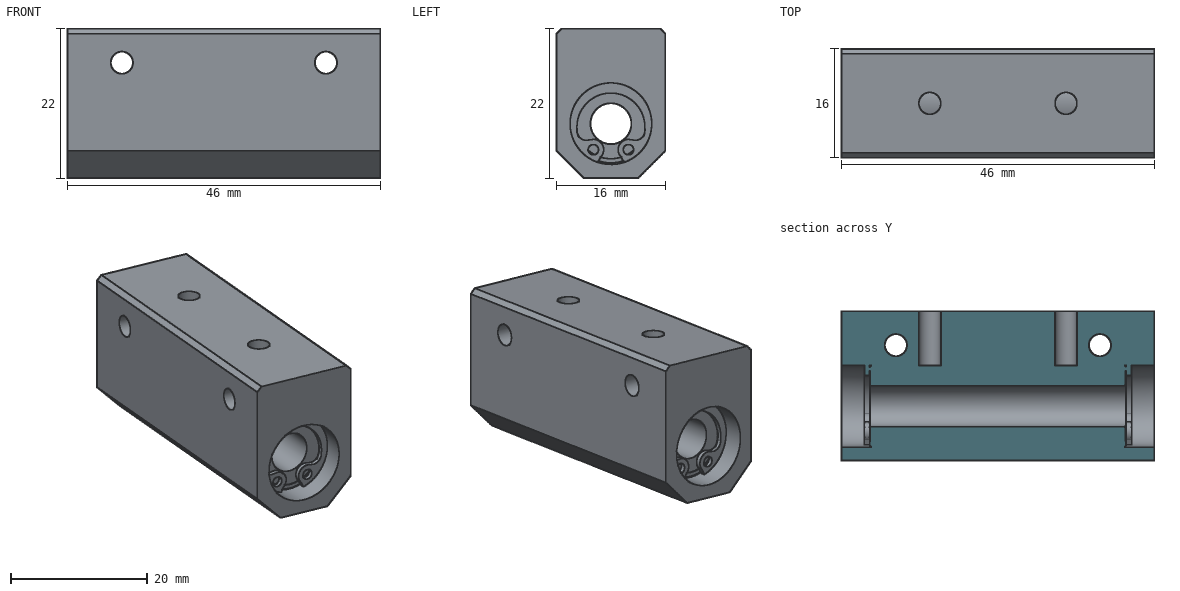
import cadquery as cq
import math

length = 46.0
width = 16.0
height = 22.0
bottom_chamfer = 4.0
top_chamfer = 0.75

hole_diameter = 3.2
side_hole_spacing = 30.0
top_hole_spacing = 20.0
side_hole_depth_from_top = 5.0

axis_height = width / 2
seat_diameter = 12.0
bearing_face_diameter = 11.5
seal_diameter = 10.3
seal_recess = 0.1
rod_diameter = 6.0
bearing_inset = 4.15

ring_thickness = 0.8
ring_arc_radius = 4.95
ring_arc_drop = 0.45
ring_corner_radius = 1.4
ring_corner_drop = 1.05
lug_radius = 1.5
lug_offset = 2.58
lug_drop = 3.8
lug_hole_diameter = 1.5
gap_half_width = 2.05


def on_axis(x):
    """Work plane across the bearing axis, with local X along Y and local Y along Z."""
    return cq.Workplane("YZ", origin=(x, 0, axis_height))


def make_housing():
    block = cq.Workplane("XY").box(length, width, height, centered=(True, True, False))
    block = block.edges("|X and <Z").chamfer(bottom_chamfer)
    block = block.edges("|X and >Z").chamfer(top_chamfer)
    seat = on_axis(-length / 2).circle(seat_diameter / 2).extrude(length)
    side_holes = (
        cq.Workplane("XZ", origin=(0, 0, height - side_hole_depth_from_top))
        .pushPoints([(-side_hole_spacing / 2, 0), (side_hole_spacing / 2, 0)])
        .circle(hole_diameter / 2)
        .extrude(width, both=True)
    )
    top_holes = (
        cq.Workplane("XY", origin=(0, 0, axis_height))
        .pushPoints([(-top_hole_spacing / 2, 0), (top_hole_spacing / 2, 0)])
        .circle(hole_diameter / 2)
        .extrude(height - axis_height)
    )
    return block.cut(seat).cut(side_holes).cut(top_holes)


def make_bearings():
    """Two bearings meeting at mid-length, modelled as one sleeve with recessed end seals."""
    bearing_length = length - 2 * bearing_inset
    rim_chamfer = (seat_diameter - bearing_face_diameter) / 2
    sleeve = on_axis(-bearing_length / 2).circle(seat_diameter / 2).extrude(bearing_length)
    sleeve = sleeve.edges("%CIRCLE").chamfer(rim_chamfer)
    for end_x in (-bearing_length / 2, bearing_length / 2 - seal_recess):
        sleeve = sleeve.cut(on_axis(end_x).circle(seal_diameter / 2).extrude(seal_recess))
    bore = on_axis(-length / 2).circle(rod_diameter / 2).extrude(length)
    return sleeve.cut(bore)


def make_ring(start_x):
    diagonal = math.sqrt(0.5)
    corner_y = ring_arc_radius - ring_corner_radius
    lug_end_y = lug_offset - lug_radius * diagonal
    lug_end_z = -lug_drop - lug_radius * diagonal
    below_ring = -seat_diameter / 2
    opening = (
        on_axis(start_x)
        .moveTo(-ring_arc_radius, -ring_corner_drop)
        .threePointArc((0, ring_arc_radius - ring_arc_drop), (ring_arc_radius, -ring_corner_drop))
        .threePointArc(
            (corner_y + ring_corner_radius * diagonal, -ring_corner_drop - ring_corner_radius * diagonal),
            (corner_y, -ring_corner_drop - ring_corner_radius),
        )
        .lineTo(lug_offset, lug_radius - lug_drop)
        .threePointArc((lug_offset - lug_radius, -lug_drop), (lug_end_y, lug_end_z))
        .lineTo(gap_half_width, below_ring)
        .lineTo(-gap_half_width, below_ring)
        .lineTo(-lug_end_y, lug_end_z)
        .threePointArc((lug_radius - lug_offset, -lug_drop), (-lug_offset, lug_radius - lug_drop))
        .lineTo(-corner_y, -ring_corner_drop - ring_corner_radius)
        .threePointArc(
            (-corner_y - ring_corner_radius * diagonal, -ring_corner_drop - ring_corner_radius * diagonal),
            (-ring_arc_radius, -ring_corner_drop),
        )
        .close()
        .extrude(ring_thickness)
    )
    lug_holes = (
        on_axis(start_x)
        .pushPoints([(-lug_offset, -lug_drop), (lug_offset, -lug_drop)])
        .circle(lug_hole_diameter / 2)
        .extrude(ring_thickness)
    )
    disc = on_axis(start_x).circle(seat_diameter / 2).extrude(ring_thickness)
    return disc.cut(opening).cut(lug_holes)


bearing_end = length / 2 - bearing_inset
result = make_housing().union(make_bearings())
for ring_start in (-bearing_end - ring_thickness, bearing_end):
    result = result.union(make_ring(ring_start))